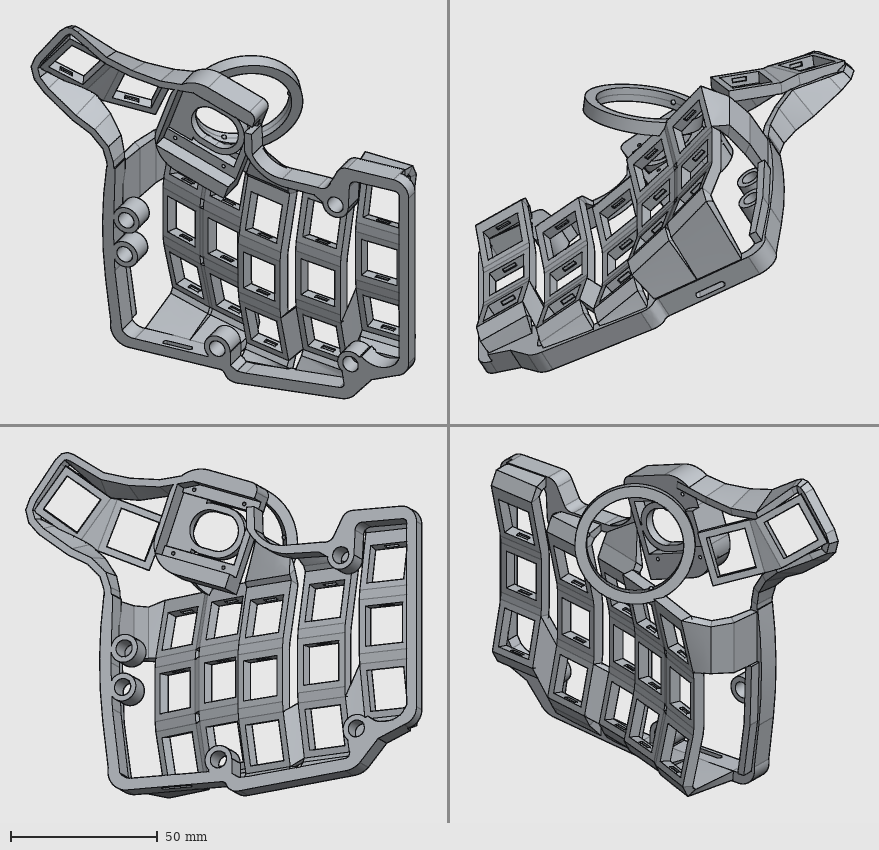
import cadquery as cq
import math


RIM_HEIGHT = 8.0
RIM_SEAT = 7.2
LOW_RIM_HEIGHT = 5.0
LOW_RIM_X = 137.8
LOW_RIM_Z = 17.2
LOW_RIM_CUT = (5.7, RIM_HEIGHT, 80.1)
KEY_PLATE = 18.9
KEY_HOLE = 14.0
KEY_THICK = 4.0
HALF_PLATE = KEY_PLATE / 2
TOP_LIP = 2.6
KNEE_INNER = (1.5, 1.7)
KNEE_OUTER = (2.9, 4.9)
ROW_GAP = 3.5
ROW_TILT = 12.5
CLIP_WIDTH = 5.0
CLIP_DEPTH = 0.7
CLIP_START = 1.5
CLIP_HEIGHT = 1.5
BOSS_RADIUS = 4.9
BOSS_HOLE = 5.9
BOSS_TIE = (8.6, RIM_HEIGHT, 5.7)
BOSS_TIE_CORNER = (67.0, 0, 5.7)
RIM_SLOT = (10.9, 2.1, 8.6)
RIM_SLOT_CORNER = 0.9
RIM_SLOT_CENTRE = (54.4, 2.6, 5.7)

COLUMNS = [
    ((45.2, 24.0, 42.8), 22),
    ((64.7, 16.3, 43.2), 19),
    ((83.5, 5.9, 40.0), 15),
    ((106.0, 5.5, 43.5), 10),
    ((128.0, 7.9, 55.6), 5),
]
BOTTOM, MIDDLE, TOP = -1, 0, 1

THUMB_KEYS = [
    ((15.0, 5.1, 106.1), (0.69, 0.46, -0.55), (-0.61, 0.04, -0.79)),
    ((33.5, 15.0, 96.1), (0.81, 0.48, -0.33), (-0.4, 0.1, -0.91)),
]

SKIRT_WIDTH = 2.6
SKIRT = [
    ((29.0, 70.1), 8.0, 0.0),
    ((28.6, 74.4), 8.0, 0.3),
    ((27.2, 79.0), 8.6, 0.7),
    ((22.6, 83.7), 9.7, 2.1),
    ((15.6, 87.4), 10.7, 4.3),
    ((4.9, 95.5), 5.7, 2.6),
    ((1.1, 99.8), 3.7, 1.1),
    ((0.0, 104.4), 3.6, 1.1),
    ((1.6, 108.5), 3.6, 1.1),
    ((10.9, 121.0), 3.6, 1.1),
    ((13.2, 123.0), 3.6, 1.1),
    ((15.5, 123.3), 3.6, 1.1),
    ((17.7, 122.3), 4.3, 1.5),
    ((28.6, 115.2), 11.5, 4.3),
    ((38.2, 112.5), 11.5, 2.9),
    ((49.0, 111.0), 10.7, 0.9),
    ((61.5, 112.0), 10.6, 0.0),
]

CRADLE_CENTRE = (64.7, 93.8)
CRADLE_TURN = -19.5
CRADLE_HEIGHT = 10.6
CRADLE_LENGTH = 30.9
CRADLE_WIDTH = 37.5
CRADLE_CORNER = 11.5
CRADLE_NEAR_CORNER = 2.9
CRADLE_WALL = 1.9
BAR_SPACING = 27.2
LEDGE_WIDTH = 4.0
LEDGE_FRONT = 6.0
SCREW_HOLE = 1.2
SCREW_SPACING_X = 19.5
SCREW_SPACING_Z = 22.9
EYE_LENGTH = 18.0
EYE_WIDTH = 13.3
EYE_WALL = 2.3
EYE_SHIFT = 1.6
EYE_FRONT = 7.2
FLOOR_LENGTH = 9.3
RING_FOOT_LENGTH = 4.3
RING_FOOT_WIDTH = 12.9
RING_FOOT_TOP = 14.0
STRUT_WIDTH = 2.3

BALL_RING_CENTRE = (67.0, 26.9, 93.0)
BALL_RING_TILT = 39
BALL_RING_TURN = -25
BALL_RING_OUTER = 20.5
BALL_RING_INNER = 16.6
BALL_RING_THICK = 4.9
BEARING_RADIUS = 0.9

FLATNESS = 0.0001

FRONT = cq.Plane(origin=(0, 0, 0), xDir=(1, 0, 0), normal=(0, -1, 0))


def raise_up(sketch, height):
    """Extrude an outline drawn on the rim plane towards +Y."""
    return sketch.extrude(-height)


def flat_face(points):
    return cq.Face.makeFromWires(cq.Wire.makePolygon([cq.Vector(*p) for p in points], close=True))


def side_face(a, b, c, d):
    """Face over the corners a, b, c, d: flat where they allow it, otherwise ruled."""
    va, vb, vc, vd = (cq.Vector(*p) for p in (a, b, c, d))
    normal = (vb - va).cross(vd - va)
    if abs(normal.dot(vc - va)) < FLATNESS * normal.Length:
        return flat_face([a, b, c, d])
    return cq.Face.makeRuledSurface(cq.Edge.makeLine(va, vb), cq.Edge.makeLine(vd, vc))


def bridge(*sections):
    """Straight-sided solid through a chain of four-cornered sections."""
    faces = [flat_face(sections[0]), flat_face(sections[-1])]
    for near, far in zip(sections, sections[1:]):
        for i in range(4):
            j = (i + 1) % 4
            faces.append(side_face(near[i], near[j], far[j], far[i]))
    solid = cq.Solid.makeSolid(cq.Shell.makeShell(faces)).fix()
    return cq.Workplane(solid)


def key_frame(centre, across, down):
    across = cq.Vector(*across)
    normal = across.cross(cq.Vector(*down))
    return cq.Plane(origin=centre, xDir=across, normal=normal)


def column_frame(column, row):
    """Frame of one key: x across, y down the key, z out of its outer face."""
    (x, y, z), slope = COLUMNS[column]
    a = math.radians(slope)
    tilt = math.radians(ROW_TILT * row)
    reach = HALF_PLATE + ROW_GAP + HALF_PLATE * math.cos(tilt)
    lift = abs(row) * (ROW_GAP * math.sin(abs(tilt) / 2) + HALF_PLATE * math.sin(abs(tilt)))
    centre = (x + lift * math.sin(a), y + lift * math.cos(a), z + row * reach)
    across = (math.cos(a), -math.sin(a), 0)
    down = (-math.sin(tilt) * math.sin(a), -math.sin(tilt) * math.cos(a), -math.cos(tilt))
    return key_frame(centre, across, down)


def edge(frame, side, lip=0.0):
    """Four corners of one edge face of a key plate, inner pair first."""
    h = HALF_PLATE
    ends = {
        "left": ((-h, -h - lip), (-h, h)),
        "right": ((h, -h - lip), (h, h)),
        "top": ((-h, -h - lip), (h, -h - lip)),
        "bottom": ((-h, h), (h, h)),
    }
    (ax, ay), (bx, by) = ends[side]
    local = [(ax, ay, 0), (bx, by, 0), (bx, by, KEY_THICK), (ax, ay, KEY_THICK)]
    return [frame.toWorldCoords(p).toTuple() for p in local]


def key_plate(frame, lip=0.0):
    length = KEY_PLATE + lip
    return cq.Workplane(frame).center(0, -lip / 2).rect(KEY_PLATE, length).extrude(KEY_THICK)


def key_opening(frame):
    hole = cq.Workplane(frame).rect(KEY_HOLE, KEY_HOLE).extrude(KEY_THICK)
    clips = (
        cq.Workplane(frame)
        .workplane(offset=CLIP_START)
        .rect(CLIP_WIDTH, KEY_HOLE + 2 * CLIP_DEPTH)
        .extrude(CLIP_HEIGHT)
    )
    return hole.union(clips)


def seat(left, right, reach):
    """Footprint of a wall on the rim from its inner (X, Z) corners and its reach along Z."""
    corners = [left, right, (right[0], right[1] + reach), (left[0], left[1] + reach)]
    return [(x, RIM_SEAT, z) for x, z in corners]


def make_rim():
    outline = (
        cq.Workplane(FRONT)
        .moveTo(28.6, 72.4)
        .threePointArc((27.0, 48.6), (28.2, 28.6))
        .lineTo(30.2, 12.0)
        .threePointArc((32.2, 5.7), (36.6, 3.7))
        .lineTo(71.7, 3.7)
        .spline([(73.8, 1.7), (78.4, 0.0)], tangents=[(1, 0), (1, 0.1)], includeCurrent=True)
        .lineTo(116.9, 3.7)
        .threePointArc((119.9, 4.5), (122.3, 6.2))
        .lineTo(129.0, 14.0)
        .lineTo(138.5, 18.0)
        .threePointArc((141.8, 20.2), (143.0, 23.9))
        .lineTo(143.0, 88.5)
        .threePointArc((141.3, 92.7), (137.3, 94.4))
        .lineTo(119.7, 94.4)
        .threePointArc((117.3, 93.7), (115.7, 91.8))
        .lineTo(112.6, 85.7)
        .threePointArc((111.0, 84.4), (108.7, 84.3))
        .lineTo(95.3, 84.3)
        .threePointArc((88.4, 86.0), (83.8, 90.7))
        .lineTo(83.5, 98.7)
        .lineTo(80.8, 98.7)
        .lineTo(80.8, 91.3)
        .threePointArc((86.7, 84.5), (95.3, 81.3))
        .lineTo(107.1, 81.0)
        .lineTo(115.3, 75.8)
        .lineTo(120.2, 78.8)
        .lineTo(120.6, 87.4)
        .threePointArc((121.3, 89.1), (123.3, 90.0))
        .lineTo(137.9, 90.0)
        .threePointArc((139.0, 89.4), (139.5, 88.0))
        .lineTo(139.5, 25.0)
        .lineTo(137.9, 22.3)
        .threePointArc((131.9, 19.7), (125.2, 22.2))
        .lineTo(117.3, 18.2)
        .lineTo(118.5, 10.5)
        .threePointArc((118.2, 8.7), (116.9, 8.0))
        .lineTo(81.4, 4.7)
        .lineTo(78.1, 4.7)
        .lineTo(73.2, 7.6)
        .lineTo(39.3, 7.7)
        .threePointArc((36.0, 8.5), (34.5, 9.9))
        .lineTo(31.8, 32.5)
        .lineTo(31.2, 48.6)
        .lineTo(31.9, 72.4)
        .close()
    )
    rim = raise_up(outline, RIM_HEIGHT)
    low_side = cq.Workplane("XY").box(*LOW_RIM_CUT, centered=False)
    return rim.cut(low_side.translate((LOW_RIM_X, LOW_RIM_HEIGHT, LOW_RIM_Z)))


BOSSES = [(36.0, 53.2), (35.5, 39.8), (70.5, 11.6), (115.3, 79.1), (121.0, 18.2)]
BLIND_BOSSES = BOSSES[-1:]
BLIND_DEPTH = 6.5


def make_bosses():
    bosses = raise_up(cq.Workplane(FRONT).pushPoints(BOSSES).circle(BOSS_RADIUS), RIM_HEIGHT)
    tie = cq.Workplane("XY").box(*BOSS_TIE, centered=False).translate(BOSS_TIE_CORNER)
    return bosses.union(tie)


def boss_holes():
    through = [spot for spot in BOSSES if spot not in BLIND_BOSSES]
    deep = raise_up(cq.Workplane(FRONT).pushPoints(through).circle(BOSS_HOLE / 2), RIM_HEIGHT)
    blind = raise_up(cq.Workplane(FRONT).pushPoints(BLIND_BOSSES).circle(BOSS_HOLE / 2), BLIND_DEPTH)
    return deep.union(blind)


def rim_slot():
    """Slot through the lower side of the rim."""
    size_x, size_y, size_z = RIM_SLOT
    slot = cq.Workplane("XY").box(size_x, size_y, size_z).edges("|Z").fillet(RIM_SLOT_CORNER)
    return slot.translate(RIM_SLOT_CENTRE)


def lip_of(row):
    return TOP_LIP if row == TOP else 0.0


def make_column(column):
    low, mid, high = (column_frame(column, row) for row in (BOTTOM, MIDDLE, TOP))
    body = key_plate(low).union(key_plate(mid)).union(key_plate(high, TOP_LIP))
    body = body.union(bridge(edge(low, "top"), edge(mid, "bottom")))
    return body.union(bridge(edge(mid, "top"), edge(high, "bottom")))


def join_columns(column, row):
    """Web between a key and its right-hand neighbour."""
    near = edge(column_frame(column, row), "right", lip_of(row))
    far = edge(column_frame(column + 1, row), "left", lip_of(row))
    return bridge(near, far)


JOINTS = [(0, BOTTOM), (0, MIDDLE), (0, TOP), (1, TOP), (2, BOTTOM), (3, BOTTOM)]

LOWER_WALLS = [
    (0, (39.3, 7.6), (56.5, 7.6), -3.5),
    (1, (56.5, 7.6), (73.0, 7.6), -3.5),
    (2, (75.8, 4.9), (93.7, 5.7), -4.0),
    (3, (96.5, 5.9), (115.9, 7.7), -3.7),
    (4, (120.9, 20.7), (137.3, 20.7), -2.6),
]
UPPER_WALLS = [
    (2, (81.5, 89.3), (93.8, 81.7), 2.3),
    (3, (96.5, 81.5), (113.0, 81.5), 2.5),
    (4, (120.9, 90.4), (137.3, 90.4), 3.7),
]


def knee(edge_corners, way):
    """Bend past an end row where the plate turns into its wall; way is the sign along Z."""
    shifts = [KNEE_INNER, KNEE_INNER, KNEE_OUTER, KNEE_OUTER]
    return [(x, y - dy, z + way * dz) for (x, y, z), (dy, dz) in zip(edge_corners, shifts)]


def make_end_walls():
    walls = []
    for column, *foot in LOWER_WALLS:
        start = edge(column_frame(column, BOTTOM), "bottom")
        walls.append(bridge(start, knee(start, BOTTOM), seat(*foot)))
    for column, *foot in UPPER_WALLS:
        start = edge(column_frame(column, TOP), "top", TOP_LIP)
        walls.append(bridge(start, knee(start, TOP), seat(*foot)))
    return walls


LEFT_WALL_BENDS = [
    ((35.2, 24.9), (32.5, 28.9), 55.1, 73.0),
    ((32.9, 17.2), (29.5, 20.0), 53.0, 72.0),
    ((31.6, 6.7), (28.9, 6.7), 52.2, 71.5),
]


def make_left_wall():
    sections = [edge(column_frame(0, TOP), "left", TOP_LIP)]
    for inner, outer, low, high in LEFT_WALL_BENDS:
        sections.append([(*inner, high), (*inner, low), (*outer, low), (*outer, high)])
    return bridge(*sections)


RIDGE_WIDTH = 2.6
RIDGE_TOP = 12.2
RIDGE = [(28.0, 52.6), (28.8, 30.0), (31.5, 10.0)]


def make_ridge():
    sections = []
    for x, z in RIDGE:
        ends = [(x, RIM_SEAT), (x + RIDGE_WIDTH, RIM_SEAT), (x + RIDGE_WIDTH, RIDGE_TOP), (x, RIDGE_TOP)]
        sections.append([(px, py, z) for px, py in ends])
    return bridge(*sections)


def make_skirt():
    """Leaning wall that follows the foot line, square to it at every point."""
    sections = []
    last = len(SKIRT) - 1
    for i, ((x, z), height, lean) in enumerate(SKIRT):
        (x0, z0) = SKIRT[max(i - 1, 0)][0]
        (x1, z1) = SKIRT[min(i + 1, last)][0]
        run = math.hypot(x1 - x0, z1 - z0)
        in_x, in_z = (z1 - z0) / run, -(x1 - x0) / run
        offsets = [(0, 0), (SKIRT_WIDTH, 0), (SKIRT_WIDTH + lean, height), (lean, height)]
        sections.append([(x + d * in_x, y, z + d * in_z) for d, y in offsets])
    return bridge(*sections)


def make_thumb(frames):
    outer, inner = frames
    plates = key_plate(outer).union(key_plate(inner))
    return plates.union(bridge(edge(outer, "right"), edge(inner, "left")))


CRADLE = cq.Plane(
    origin=(CRADLE_CENTRE[0], 0, CRADLE_CENTRE[1]),
    xDir=(math.cos(math.radians(CRADLE_TURN)), 0, math.sin(math.radians(CRADLE_TURN))),
    normal=(0, -1, 0),
)


def cradle_box(x_from, x_to, width, front, back):
    """Block centred across the cradle, given along it and in depth."""
    plane = cq.Workplane(CRADLE).workplane(offset=-front).center((x_from + x_to) / 2, 0)
    return plane.rect(x_to - x_from, width).extrude(front - back)


def cradle_slot(length, width, front, back):
    plane = cq.Workplane(CRADLE).workplane(offset=-front).center(EYE_SHIFT, 0)
    return plane.slot2D(length, width).extrude(front - back)


def make_cradle():
    far, near = -CRADLE_LENGTH / 2, CRADLE_LENGTH / 2
    eye_near = EYE_SHIFT + EYE_LENGTH / 2
    ledge_spacing = BAR_SPACING - 2 * LEDGE_WIDTH

    half_width = CRADLE_WIDTH / 2
    outline = (
        cq.Workplane(CRADLE)
        .moveTo(near, -half_width)
        .lineTo(far + CRADLE_CORNER, -half_width)
        .radiusArc((far, -half_width + CRADLE_CORNER), CRADLE_CORNER)
        .lineTo(far, half_width - CRADLE_CORNER)
        .radiusArc((far + CRADLE_CORNER, half_width), CRADLE_CORNER)
        .lineTo(near - CRADLE_NEAR_CORNER, half_width)
        .radiusArc((near, half_width - CRADLE_NEAR_CORNER), CRADLE_NEAR_CORNER)
        .close()
    )
    body = raise_up(outline, CRADLE_HEIGHT)
    inside = far + CRADLE_WALL
    body = body.cut(cradle_box(inside, near, ledge_spacing, 0, CRADLE_HEIGHT))
    body = body.cut(cradle_box(inside, near, BAR_SPACING, 0, LEDGE_FRONT))

    foot_end = far + RING_FOOT_LENGTH
    body = body.union(cradle_box(far, foot_end, RING_FOOT_WIDTH, EYE_FRONT, RING_FOOT_TOP))

    body = body.union(cradle_box(inside, inside + FLOOR_LENGTH, BAR_SPACING, EYE_FRONT, CRADLE_HEIGHT))
    body = body.union(cradle_box(near - STRUT_WIDTH, near, BAR_SPACING, LEDGE_FRONT, CRADLE_HEIGHT))
    body = body.union(cradle_box(eye_near, near, STRUT_WIDTH, EYE_FRONT, CRADLE_HEIGHT))
    frame_size = (EYE_LENGTH + 2 * EYE_WALL, EYE_WIDTH + 2 * EYE_WALL)
    body = body.union(cradle_slot(*frame_size, EYE_FRONT, CRADLE_HEIGHT))
    body = body.cut(cradle_slot(EYE_LENGTH, EYE_WIDTH, 0, CRADLE_HEIGHT))
    screws = cq.Workplane(CRADLE).rarray(SCREW_SPACING_X, SCREW_SPACING_Z, 2, 2).circle(SCREW_HOLE / 2)
    return body.cut(raise_up(screws, CRADLE_HEIGHT))


def make_ball_ring():
    tilt = math.radians(BALL_RING_TILT)
    turn = math.radians(BALL_RING_TURN)
    normal = (-math.sin(tilt) * math.cos(turn), math.cos(tilt), -math.sin(tilt) * math.sin(turn))
    frame = cq.Plane(origin=BALL_RING_CENTRE, xDir=(math.sin(turn), 0, -math.cos(turn)), normal=normal)
    ring = (
        cq.Workplane(frame)
        .circle(BALL_RING_OUTER)
        .circle(BALL_RING_INNER)
        .extrude(BALL_RING_THICK / 2, both=True)
    )
    bearings = (
        cq.Workplane(frame)
        .polarArray(BALL_RING_INNER, 0, 360, 3)
        .sphere(BEARING_RADIUS)
    )
    return ring.union(bearings)


thumb_frames = [key_frame(*key) for key in THUMB_KEYS]
key_frames = thumb_frames + [
    column_frame(column, row) for column in range(len(COLUMNS)) for row in (BOTTOM, MIDDLE, TOP)
]

result = make_rim().union(make_bosses())
for column in range(len(COLUMNS)):
    result = result.union(make_column(column))
for column, row in JOINTS:
    result = result.union(join_columns(column, row))
for wall in make_end_walls():
    result = result.union(wall)
result = result.union(make_left_wall())
result = result.union(make_ridge())
result = result.union(make_skirt())
result = result.union(make_thumb(thumb_frames))
result = result.union(make_cradle())
result = result.union(make_ball_ring())
for frame in key_frames:
    result = result.cut(key_opening(frame))
result = result.cut(boss_holes())
result = result.cut(rim_slot())